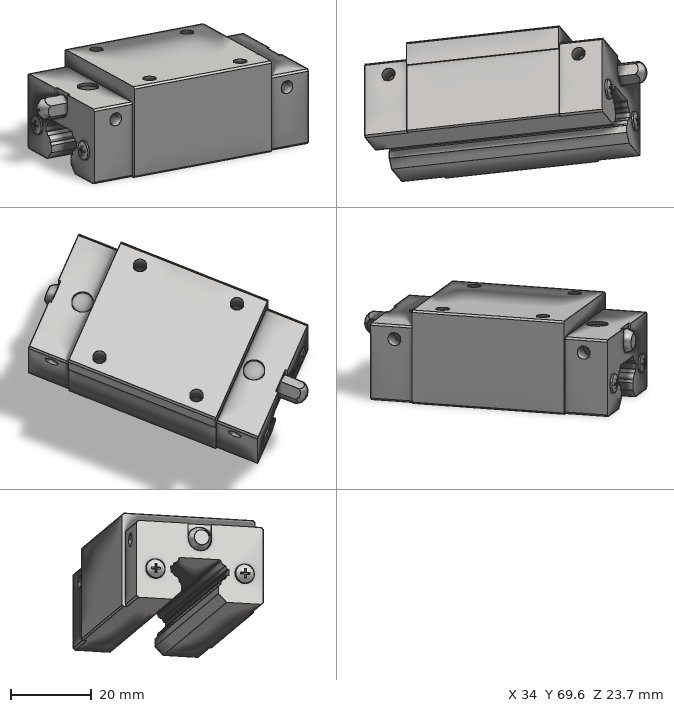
import cadquery as cq
import math


BLOCK_WIDTH = 34.0
BLOCK_LENGTH = 39.4
BLOCK_HEIGHT = 23.7
BLOCK_TOP_CHAMFER = 0.5
BLOCK_BOTTOM_CHAMFER = 0.4
SIDE_RELIEF = 0.4
SIDE_RELIEF_TOP = 17.6

OVERALL_CAP_LENGTH = 61.4
CAP_WIDTH = 32.4
CAP_HEIGHT = 19.5
CAP_CHAMFER = 0.5
CAP_END_Y = OVERALL_CAP_LENGTH / 2

GROOVE_MID_Z = 7.65
RIB_SIZE = 1.15
RIB_SAGITTA = 0.26
RIB_CENTRE_X = 6.5
RIB_OFFSET_Z = 2.75
OPENING_TOP_Z = 10.7
OPENING_TOP_CHAMFER = 0.25
GROOVE_HALF_WIDTH = 7.45
GROOVE_HALF_HEIGHT = 0.75
GROOVE_LIP_X = 7.0
RIB_FOOT_Z = 4.6
WAIST_HALF_WIDTH = 4.72
WAIST_BOTTOM_Z = 2.1

MOUNT_HOLE_PITCH = 26.0
MOUNT_HOLE_DIAMETER = 3.3
MOUNT_HOLE_DEPTH = 6.0
DRILL_POINT_ANGLE = 118.0

OIL_RECESS_DIAMETER = 5.3
OIL_RECESS_DEPTH = 0.8
OIL_RECESS_Y = 23.0
SIDE_HOLE_DIAMETER = 3.3
SIDE_HOLE_DEPTH = 5.0
SIDE_HOLE_Y = 24.55
SIDE_HOLE_Z = 15.9

NIPPLE_Z = 15.75
SLOT_RADIUS = 3.0
SLOT_DEPTH = 0.6
SLOT_FLOOR_Y = CAP_END_Y - SLOT_DEPTH
DOME_RADIUS = 3.0
HEX_ACROSS_FLATS = 5.0
NIPPLE_TIP_Y = 37.21
NIPPLE_BORE_DIAMETER = 0.5
NIPPLE_BORE_DEPTH = 0.3
PLUG_END_Y = 32.36
PLUG_RADIUS = 2.95

SCREW_X = 11.42
SCREW_Z = 7.5
SCREW_DIAMETER = 4.9
SCREW_RIM_DIAMETER = 4.75
SCREW_RIM_HEIGHT = 0.45
SCREW_HEAD_HEIGHT = 0.95
CROSS_LENGTH = 2.3
CROSS_WIDTH = 0.42
CROSS_DEPTH = 0.45

EMBED = 1.0


def body():
    """Steel block, relieved low on its -X side, on a longer bar forming both end caps."""
    block = cq.Workplane("XY").box(BLOCK_WIDTH, BLOCK_LENGTH, BLOCK_HEIGHT, centered=(True, True, False))
    relief = cq.Workplane("XY").box(SIDE_RELIEF, BLOCK_LENGTH, SIDE_RELIEF_TOP, centered=(False, True, False))
    block = block.cut(relief.translate((-BLOCK_WIDTH / 2, 0, 0)))
    block = block.edges("|Y and >Z").chamfer(BLOCK_TOP_CHAMFER)
    block = block.edges("|Y and <Z").chamfer(BLOCK_BOTTOM_CHAMFER)
    caps = cq.Workplane("XY").box(CAP_WIDTH, OVERALL_CAP_LENGTH, CAP_HEIGHT, centered=(True, True, False))
    caps = caps.edges("|Y").chamfer(CAP_CHAMFER)
    return block.union(caps)


def half_rail_opening():
    """Right half of the rail opening: two rounded ribs either side of a square groove."""
    upper_z = GROOVE_MID_Z + RIB_OFFSET_Z
    lower_z = GROOVE_MID_Z - RIB_OFFSET_Z
    rib_x = RIB_CENTRE_X - RIB_SIZE
    bulge = RIB_SIZE / 2 + RIB_SAGITTA * math.sqrt(0.5)
    foot_z = RIB_FOOT_Z - (rib_x - WAIST_HALF_WIDTH)
    profile = (
        cq.Workplane("XZ")
        .moveTo(0, OPENING_TOP_Z)
        .lineTo(rib_x - OPENING_TOP_CHAMFER, OPENING_TOP_Z)
        .lineTo(rib_x, upper_z)
        .threePointArc((RIB_CENTRE_X - bulge, upper_z - bulge), (RIB_CENTRE_X, upper_z - RIB_SIZE))
        .lineTo(GROOVE_LIP_X, GROOVE_MID_Z + GROOVE_HALF_HEIGHT)
        .lineTo(GROOVE_HALF_WIDTH, GROOVE_MID_Z + GROOVE_HALF_HEIGHT)
        .lineTo(GROOVE_HALF_WIDTH, GROOVE_MID_Z - GROOVE_HALF_HEIGHT)
        .lineTo(GROOVE_LIP_X, GROOVE_MID_Z - GROOVE_HALF_HEIGHT)
        .lineTo(RIB_CENTRE_X, lower_z + RIB_SIZE)
        .threePointArc((RIB_CENTRE_X - bulge, lower_z + bulge), (rib_x, lower_z))
        .lineTo(rib_x, RIB_FOOT_Z)
        .lineTo(WAIST_HALF_WIDTH, foot_z)
        .lineTo(WAIST_HALF_WIDTH, WAIST_BOTTOM_Z)
        .lineTo(WAIST_HALF_WIDTH + WAIST_BOTTOM_Z, 0)
        .lineTo(0, 0)
        .close()
    )
    return profile.extrude(CAP_END_Y, both=True)


def mounting_holes():
    """Blind drilled holes with conical bottoms."""
    radius = MOUNT_HOLE_DIAMETER / 2
    point_length = radius / math.tan(math.radians(DRILL_POINT_ANGLE / 2))
    drill = (
        cq.Workplane("XZ")
        .polyline([(0, 0), (radius, 0), (radius, -MOUNT_HOLE_DEPTH), (0, -MOUNT_HOLE_DEPTH - point_length)])
        .close()
        .revolve(360, (0, 0), (0, 1))
    )
    holes = cq.Workplane("XY")
    for x in (-MOUNT_HOLE_PITCH / 2, MOUNT_HOLE_PITCH / 2):
        for y in (-MOUNT_HOLE_PITCH / 2, MOUNT_HOLE_PITCH / 2):
            holes = holes.add(drill.translate((x, y, BLOCK_HEIGHT)))
    return holes.combine()


def front_cap_cuts():
    """Top recess, two side holes and the end slot of the cap on the -Y end."""
    recess = (
        cq.Workplane("XY", origin=(0, -OIL_RECESS_Y, CAP_HEIGHT))
        .circle(OIL_RECESS_DIAMETER / 2)
        .extrude(-OIL_RECESS_DEPTH)
    )
    left_hole = (
        cq.Workplane("YZ", origin=(-CAP_WIDTH / 2, -SIDE_HOLE_Y, SIDE_HOLE_Z))
        .circle(SIDE_HOLE_DIAMETER / 2)
        .extrude(SIDE_HOLE_DEPTH)
    )
    slot = (
        cq.Workplane("XZ", origin=(0, -SLOT_FLOOR_Y, 0))
        .moveTo(-SLOT_RADIUS, CAP_HEIGHT)
        .lineTo(-SLOT_RADIUS, NIPPLE_Z)
        .threePointArc((0, NIPPLE_Z - SLOT_RADIUS), (SLOT_RADIUS, NIPPLE_Z))
        .lineTo(SLOT_RADIUS, CAP_HEIGHT)
        .close()
        .extrude(SLOT_DEPTH)
    )
    return recess.union(left_hole).union(left_hole.mirror("YZ")).union(slot)


def front_screw():
    """Domed screw head with a cross recess, on the +X side of the -Y end."""
    base_radius = SCREW_DIAMETER / 2
    rim_radius = SCREW_RIM_DIAMETER / 2
    rise = SCREW_HEAD_HEIGHT - SCREW_RIM_HEIGHT
    sphere_radius = (rim_radius**2 + rise**2) / (2 * rise)
    bulge_radius = rim_radius / 2
    bulge_height = SCREW_HEAD_HEIGHT - sphere_radius + math.sqrt(sphere_radius**2 - bulge_radius**2)
    face = cq.Workplane("XZ", origin=(SCREW_X, -CAP_END_Y, SCREW_Z))
    head = (
        cq.Workplane("XY", origin=(SCREW_X, -CAP_END_Y, SCREW_Z))
        .moveTo(0, EMBED)
        .lineTo(base_radius, EMBED)
        .lineTo(base_radius, 0)
        .lineTo(rim_radius, -SCREW_RIM_HEIGHT)
        .threePointArc((bulge_radius, -bulge_height), (0, -SCREW_HEAD_HEIGHT))
        .close()
        .revolve(360, (0, 0), (0, 1))
    )
    cross = (
        face.workplane(offset=SCREW_HEAD_HEIGHT - CROSS_DEPTH)
        .rect(CROSS_LENGTH, CROSS_WIDTH)
        .extrude(CROSS_DEPTH)
    )
    upright = cross.rotate((SCREW_X, 0, SCREW_Z), (SCREW_X, 1, SCREW_Z), 90)
    return head.cut(cross).cut(upright)


def grease_nipple():
    """Hexagonal nipple with a domed tip and a small bore, points of the hexagon up and down."""
    root_y = -SLOT_FLOOR_Y + EMBED
    length = NIPPLE_TIP_Y + root_y
    corner_diameter = 2 * HEX_ACROSS_FLATS / math.sqrt(3)
    hexagon = (
        cq.Workplane("XZ", origin=(0, root_y, NIPPLE_Z))
        .transformed(rotate=(0, 0, 90))
        .polygon(6, corner_diameter)
        .extrude(length)
    )
    dome_y = -NIPPLE_TIP_Y + DOME_RADIUS
    shank = cq.Workplane("XZ", origin=(0, root_y, NIPPLE_Z)).circle(DOME_RADIUS).extrude(root_y - dome_y)
    dome = cq.Workplane("XY").sphere(DOME_RADIUS).translate((0, dome_y, NIPPLE_Z))
    bore = (
        cq.Workplane("XZ", origin=(0, -NIPPLE_TIP_Y + NIPPLE_BORE_DEPTH, NIPPLE_Z))
        .circle(NIPPLE_BORE_DIAMETER / 2)
        .extrude(NIPPLE_BORE_DEPTH)
    )
    return hexagon.intersect(shank.union(dome)).cut(bore)


def rear_plug():
    """Flat-ended dome closing the slot on the +Y end."""
    height = PLUG_END_Y - SLOT_FLOOR_Y
    ball = cq.Workplane("XY").sphere(PLUG_RADIUS).translate((0, SLOT_FLOOR_Y, NIPPLE_Z))
    keep = cq.Workplane("XZ", origin=(0, PLUG_END_Y, NIPPLE_Z)).circle(PLUG_RADIUS).extrude(height + EMBED)
    return ball.intersect(keep)


carriage = body().cut(mounting_holes())
opening = half_rail_opening()
carriage = carriage.cut(opening.union(opening.mirror("YZ")))

cap_cuts = front_cap_cuts()
carriage = carriage.cut(cap_cuts).cut(cap_cuts.mirror("XZ"))

right_screw = front_screw()
for screw in (right_screw, right_screw.mirror("YZ")):
    carriage = carriage.union(screw).union(screw.mirror("XZ"))

result = carriage.union(grease_nipple()).union(rear_plug())